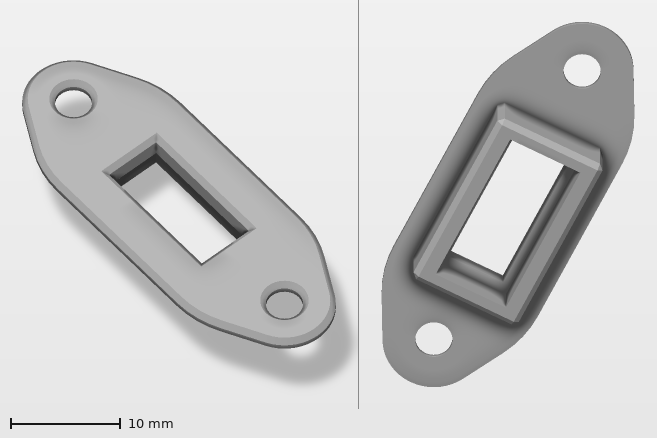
import cadquery as cq
import math

length = 39.08
width = 14.8
height = 5.35
plate_thickness = 1.0
edge_chamfer = 0.5
tip_radius = 4.7
shoulder_radius = 10.0
shoulder_center_x = 8.45

hole_diameter = 3.4

boss_length = 17.8
boss_width = 10.8

opening_length = 13.05
opening_width = 5.63
cavity_length = 14.93
cavity_width = 7.2
cavity_top_depth = 2.2

hole_x = length / 2 - tip_radius
half_width = width / 2
shoulder_center_y = half_width - shoulder_radius


def point_on_arc(center_x, center_y, radius, angle):
    return (center_x + radius * math.cos(angle), center_y + radius * math.sin(angle))


def mirror_x(point):
    return (-point[0], point[1])


def mirror_y(point):
    return (point[0], -point[1])


def make_plate():
    center_dx = hole_x - shoulder_center_x
    center_dy = -shoulder_center_y
    center_distance = math.hypot(center_dx, center_dy)
    normal_angle = math.atan2(center_dy, center_dx) + math.acos(
        (shoulder_radius - tip_radius) / center_distance
    )
    middle_angle = (normal_angle + math.pi / 2) / 2

    tip_end = point_on_arc(hole_x, 0, tip_radius, normal_angle)
    shoulder_start = point_on_arc(shoulder_center_x, shoulder_center_y, shoulder_radius, normal_angle)
    shoulder_middle = point_on_arc(shoulder_center_x, shoulder_center_y, shoulder_radius, middle_angle)
    shoulder_end = (shoulder_center_x, half_width)

    outline = (
        cq.Workplane("XY")
        .moveTo(*mirror_y(tip_end))
        .threePointArc((length / 2, 0), tip_end)
        .lineTo(*shoulder_start)
        .threePointArc(shoulder_middle, shoulder_end)
        .lineTo(*mirror_x(shoulder_end))
        .threePointArc(mirror_x(shoulder_middle), mirror_x(shoulder_start))
        .lineTo(*mirror_x(tip_end))
        .threePointArc((-length / 2, 0), mirror_x(mirror_y(tip_end)))
        .lineTo(*mirror_x(mirror_y(shoulder_start)))
        .threePointArc(mirror_x(mirror_y(shoulder_middle)), mirror_x(mirror_y(shoulder_end)))
        .lineTo(*mirror_y(shoulder_end))
        .threePointArc(mirror_y(shoulder_middle), mirror_y(shoulder_start))
        .close()
    )
    plate = (
        outline.extrude(-plate_thickness)
        .faces(">Z")
        .workplane()
        .pushPoints([(-hole_x, 0), (hole_x, 0)])
        .hole(hole_diameter)
    )
    return plate.faces(">Z").edges().chamfer(edge_chamfer)


def make_boss():
    return (
        cq.Workplane("XY")
        .workplane(offset=-height)
        .rect(boss_length, boss_width)
        .extrude(height - plate_thickness)
        .edges("|Z or <Z")
        .chamfer(edge_chamfer)
    )


def make_opening():
    passage = cq.Workplane("XY").rect(opening_length, opening_width).extrude(-cavity_top_depth)
    rim = (
        cq.Workplane("XY")
        .workplane(offset=-edge_chamfer)
        .rect(opening_length, opening_width)
        .workplane(offset=edge_chamfer)
        .rect(opening_length + 2 * edge_chamfer, opening_width + 2 * edge_chamfer)
        .loft(ruled=True)
    )
    cavity = (
        cq.Workplane("XY")
        .workplane(offset=-height)
        .rect(cavity_length, cavity_width)
        .extrude(height - cavity_top_depth)
    )
    return passage.union(rim).union(cavity)


result = make_plate().union(make_boss()).cut(make_opening())